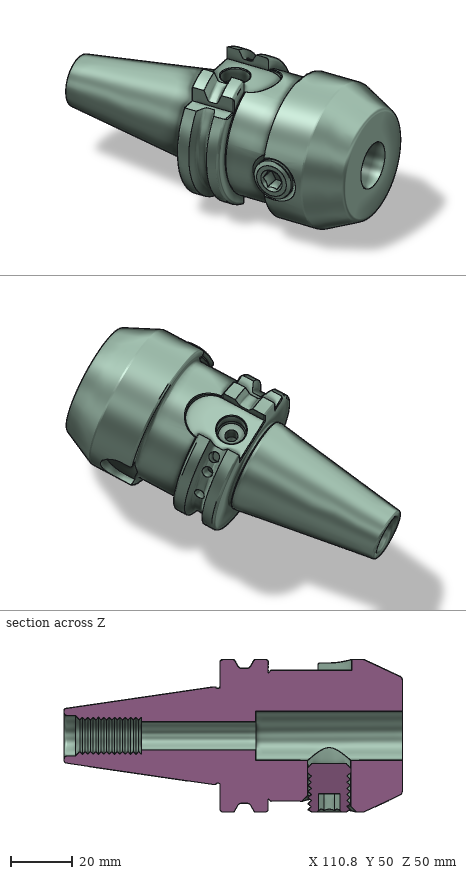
import cadquery as cq
import math


GAUGE_DIAMETER = 31.75
TAPER_RATIO = 7 / 24
SHANK_LENGTH = 47.8
SHANK_END_ROUND = 0.8
GAUGE_LAND_START = 0.8
GAUGE_LAND_END = 1.9
RELIEF_DEPTH = 0.4
RELIEF_ROOT_FILLET = 0.5

FLANGE_START = 3.2
FLANGE_END = 19.1
FLANGE_RADIUS = 25.0
FLANGE_EDGE_FILLET = 1.0
GRIPPER_GROOVE_X = 11.2
GRIPPER_GROOVE_WIDTH = 6.6
GRIPPER_FLOOR_RADIUS = 22.15
GRIPPER_FLANK_ANGLE = 30.0
GRIPPER_FLOOR_FILLET = 1.0
NOTCH_OFFSET = 14.9

BODY_RADIUS = 21.5
NECK_DEPTH = 0.8
HEAD_START = 35.3
HEAD_RADIUS = 25.0
HEAD_EDGE_FILLET = 0.7
HEAD_ROOT_FILLET = 1.0
NOSE_CONE_START = 50.35
NOSE_END = 63.0
NOSE_ANGLE = 25.0
NOSE_EDGE_FILLET = 1.5
NOSE_SHOULDER_FILLET = 1.5

KEYWAY_WIDTH = 16.4
UPPER_KEY_FLOOR = 19.0
LOWER_KEY_FLOOR = 16.3
LOWER_KEY_END = 22.3
KEY_EDGE_CHAMFER = 0.35

PORT_DIAMETER = 4.2
PORT_DEPTH = 11.0
DRILL_POINT_ANGLE = 118.0
PORT_COUNTERBORE_DIAMETER = 9.8
PORT_COUNTERBORE_DEPTH = 5.1
PORT_EDGE_CHAMFER = 0.3
PORT_FLOOR_CHAMFER = 0.5

BALANCE_HOLE_ANGLES = (30.5, 45.0, 70.0)
BALANCE_HOLE_DIAMETER = 3.6
BALANCE_HOLE_DEPTH = 5.0
BALANCE_SLOT_WIDTH = 14.7
BALANCE_SLOT_END = 46.3

TOOL_BORE_DIAMETER = 16.0
TOOL_BORE_DEPTH = 48.0
THROUGH_DIAMETER = 9.2
DRAWBAR_COUNTERBORE_DIAMETER = 13.2
DRAWBAR_COUNTERBORE_DEPTH = 3.7
DRAWBAR_MOUTH_FILLET = 1.0
DRAWBAR_THREAD_DIAMETER = 12.0
DRAWBAR_MINOR_DIAMETER = 10.2
DRAWBAR_PITCH = 1.75
DRAWBAR_THREAD_TURNS = 12

SCREW_X = 39.0
SCREW_RADIUS = 7.0
SCREW_LENGTH = 16.0
SCREW_TOP = 25.0
SCREW_CHAMFER = 1.4
SCREW_CHAMFER_HEIGHT = 0.8
SCREW_PITCH = 2.0
SCREW_THREAD_DEPTH = 1.1
SCREW_THREAD_TURNS = 6
HEX_ACROSS_FLATS = 6.0
HEX_DEPTH = 6.0
HEX_MOUTH_DIAMETER = 8.0
COUNTERSINK_RADIUS = 9.0

X_AXIS = ((0, 0, 0), (1, 0, 0))


def turned(profile):
    """Solid of a closed (X, radius) profile revolved about the X axis."""
    return profile.close().revolve(360, *X_AXIS)


def nearest_to(x, y, z):
    """Selector for the edge whose centre lies nearest to a point."""
    return cq.selectors.NearestToPointSelector((x, y, z))


def taper_radius(x):
    return (GAUGE_DIAMETER + x * TAPER_RATIO) / 2


def turned_blank():
    """Shank, flange, body and head in one revolve."""
    land_radius = taper_radius(GAUGE_LAND_START)
    relief_radius = land_radius - RELIEF_DEPTH
    nose_radius = HEAD_RADIUS - (NOSE_END - NOSE_CONE_START) * math.tan(math.radians(NOSE_ANGLE))
    relief_root = RELIEF_ROOT_FILLET
    edge = FLANGE_EDGE_FILLET
    head_edge = HEAD_EDGE_FILLET
    root = HEAD_ROOT_FILLET
    blank = turned(
        cq.Workplane("XY")
        .moveTo(-SHANK_LENGTH, 0)
        .lineTo(-SHANK_LENGTH, taper_radius(-SHANK_LENGTH))
        .lineTo(GAUGE_LAND_START, land_radius)
        .lineTo(GAUGE_LAND_END, land_radius)
        .lineTo(GAUGE_LAND_END + RELIEF_DEPTH, relief_radius)
        .lineTo(FLANGE_START - relief_root, relief_radius)
        .radiusArc((FLANGE_START, relief_radius + relief_root), -relief_root)
        .lineTo(FLANGE_START, FLANGE_RADIUS - edge)
        .radiusArc((FLANGE_START + edge, FLANGE_RADIUS), edge)
        .lineTo(FLANGE_END - edge, FLANGE_RADIUS)
        .radiusArc((FLANGE_END, FLANGE_RADIUS - edge), edge)
        .lineTo(FLANGE_END, BODY_RADIUS - NECK_DEPTH)
        .lineTo(FLANGE_END + NECK_DEPTH, BODY_RADIUS)
        .lineTo(HEAD_START - root, BODY_RADIUS)
        .radiusArc((HEAD_START, BODY_RADIUS + root), -root)
        .lineTo(HEAD_START, HEAD_RADIUS - head_edge)
        .radiusArc((HEAD_START + head_edge, HEAD_RADIUS), head_edge)
        .lineTo(NOSE_CONE_START, HEAD_RADIUS)
        .lineTo(NOSE_END, nose_radius)
        .lineTo(NOSE_END, 0)
    )
    blank = blank.faces("<X").edges().fillet(SHANK_END_ROUND)
    blank = blank.faces(">X").edges().fillet(NOSE_EDGE_FILLET)
    shoulder = blank.edges(nearest_to(NOSE_CONE_START, 0, 0))
    return shoulder.fillet(NOSE_SHOULDER_FILLET)


def gripper_groove():
    """V-shaped ring cutter with a filleted flat floor."""
    slope = math.tan(math.radians(GRIPPER_FLANK_ANGLE))
    top_radius = FLANGE_RADIUS + 1
    floor_half = GRIPPER_GROOVE_WIDTH / 2 - (FLANGE_RADIUS - GRIPPER_FLOOR_RADIUS) * slope
    top_half = floor_half + (top_radius - GRIPPER_FLOOR_RADIUS) * slope
    ring = turned(
        cq.Workplane("XY")
        .moveTo(GRIPPER_GROOVE_X - top_half, top_radius)
        .lineTo(GRIPPER_GROOVE_X - floor_half, GRIPPER_FLOOR_RADIUS)
        .lineTo(GRIPPER_GROOVE_X + floor_half, GRIPPER_FLOOR_RADIUS)
        .lineTo(GRIPPER_GROOVE_X + top_half, top_radius)
    )
    return ring.edges(cq.selectors.RadiusNthSelector(0)).fillet(GRIPPER_FLOOR_FILLET)


def box_between(x_range, y_range, z_range):
    size = [high - low for low, high in (x_range, y_range, z_range)]
    corner = (x_range[0], y_range[0], z_range[0])
    return cq.Workplane("XY").box(*size, centered=False).translate(corner)


def upper_keyway():
    """Round-ended slot, flared where it opens in the front face of the flange."""
    half = KEYWAY_WIDTH / 2
    height = FLANGE_RADIUS - UPPER_KEY_FLOOR + 1
    slot = (
        cq.Workplane("XY", origin=(0, 0, UPPER_KEY_FLOOR))
        .moveTo(FLANGE_START - 1, -half)
        .lineTo(FLANGE_END, -half)
        .radiusArc((FLANGE_END, half), -half)
        .lineTo(FLANGE_START - 1, half)
        .close()
        .extrude(height)
    )
    flare = (
        cq.Workplane("YZ", origin=(FLANGE_START, 0, UPPER_KEY_FLOOR + height / 2))
        .rect(KEYWAY_WIDTH + 2 * KEY_EDGE_CHAMFER, height + 2 * KEY_EDGE_CHAMFER)
        .extrude(KEY_EDGE_CHAMFER, taper=45)
    )
    return slot.union(flare)


def lower_keyway():
    half = KEYWAY_WIDTH / 2
    return box_between(
        (FLANGE_START - 1, LOWER_KEY_END), (-half, half), (-FLANGE_RADIUS - 1, -LOWER_KEY_FLOOR)
    )


def corner_notch():
    """Square notch through the flange rim, flared at both flange faces."""
    outside = FLANGE_RADIUS + 1
    notch = box_between(
        (FLANGE_START - 1, FLANGE_END), (-outside, -NOTCH_OFFSET), (NOTCH_OFFSET, outside)
    )
    size = outside - NOTCH_OFFSET
    middle = (outside + NOTCH_OFFSET) / 2
    for face_x, inward in ((FLANGE_START, 1), (FLANGE_END, -1)):
        flare = (
            cq.Workplane("YZ", origin=(face_x, -middle, middle))
            .rect(size + 2 * KEY_EDGE_CHAMFER, size + 2 * KEY_EDGE_CHAMFER)
            .extrude(inward * KEY_EDGE_CHAMFER, taper=45)
        )
        notch = notch.union(flare)
    return notch


def keyway_port():
    """Counterbored blind hole with a drill point in the upper keyway floor."""
    floor = cq.Workplane("XY", origin=(GRIPPER_GROOVE_X, 0, UPPER_KEY_FLOOR))
    radius = PORT_DIAMETER / 2
    point_height = radius / math.tan(math.radians(DRILL_POINT_ANGLE / 2))
    hole = (
        cq.Workplane("XZ")
        .moveTo(0, 0)
        .lineTo(radius, 0)
        .lineTo(radius, -PORT_DEPTH)
        .lineTo(0, -PORT_DEPTH - point_height)
        .close()
        .revolve(360, (0, 0, 0), (0, 1, 0))
        .translate((GRIPPER_GROOVE_X, 0, UPPER_KEY_FLOOR))
    )
    counterbore = floor.circle(PORT_COUNTERBORE_DIAMETER / 2).extrude(-PORT_COUNTERBORE_DEPTH)
    counterbore = counterbore.faces("<Z").edges().chamfer(PORT_FLOOR_CHAMFER)
    mouth = (
        floor.circle(PORT_COUNTERBORE_DIAMETER / 2 + PORT_EDGE_CHAMFER)
        .extrude(-PORT_EDGE_CHAMFER, taper=45)
    )
    return hole.union(counterbore).union(mouth)


def balance_hole(angle):
    """Radial blind hole in the floor of the gripper groove."""
    hole = (
        cq.Workplane("XY", origin=(GRIPPER_GROOVE_X, 0, GRIPPER_FLOOR_RADIUS - BALANCE_HOLE_DEPTH))
        .circle(BALANCE_HOLE_DIAMETER / 2)
        .extrude(BALANCE_HOLE_DEPTH + 1)
    )
    return hole.rotate(*X_AXIS, -angle)


def balance_slot():
    """Round-ended slot on the +Y side of the head, open towards the flange."""
    half = BALANCE_SLOT_WIDTH / 2
    end_centre = BALANCE_SLOT_END - half
    return (
        cq.Workplane("XZ", origin=(0, BODY_RADIUS, 0))
        .moveTo(HEAD_START - HEAD_ROOT_FILLET, -half)
        .lineTo(end_centre, -half)
        .radiusArc((end_centre, half), -half)
        .lineTo(HEAD_START - HEAD_ROOT_FILLET, half)
        .close()
        .extrude(-(HEAD_RADIUS - BODY_RADIUS + 1))
    )


def thread_cutter(axis_start, pitch, turns, minor_radius, major_radius):
    """V rings along +X that cut an internal thread form, starting at the major diameter."""
    profile = cq.Workplane("XY").moveTo(axis_start, 0).lineTo(axis_start, major_radius)
    for turn in range(turns):
        start = axis_start + turn * pitch
        profile = profile.lineTo(start + pitch / 2, minor_radius)
        profile = profile.lineTo(start + pitch, major_radius)
    return turned(profile.lineTo(axis_start + turns * pitch, 0))


def central_bore():
    """Drawbar counterbore and thread, through hole and tool bore."""
    back = cq.Workplane("YZ", origin=(-SHANK_LENGTH, 0, 0))
    through = back.circle(THROUGH_DIAMETER / 2).extrude(SHANK_LENGTH + NOSE_END)
    counterbore = back.circle(DRAWBAR_COUNTERBORE_DIAMETER / 2).extrude(DRAWBAR_COUNTERBORE_DEPTH)
    lead_in = (DRAWBAR_COUNTERBORE_DIAMETER - DRAWBAR_THREAD_DIAMETER) / 2
    cone = (
        back.workplane(offset=DRAWBAR_COUNTERBORE_DEPTH)
        .circle(DRAWBAR_COUNTERBORE_DIAMETER / 2)
        .extrude(lead_in, taper=45)
    )
    thread = thread_cutter(
        DRAWBAR_COUNTERBORE_DEPTH + lead_in - SHANK_LENGTH,
        DRAWBAR_PITCH,
        DRAWBAR_THREAD_TURNS,
        DRAWBAR_MINOR_DIAMETER / 2,
        DRAWBAR_THREAD_DIAMETER / 2,
    )
    tool_bore = (
        cq.Workplane("YZ", origin=(NOSE_END, 0, 0))
        .circle(TOOL_BORE_DIAMETER / 2)
        .extrude(-TOOL_BORE_DEPTH)
    )
    return through.union(counterbore).union(cone).union(thread).union(tool_bore)


def countersink(rim_distance):
    """45-degree cone that has the countersink radius at a distance from the axis."""
    return (
        cq.Workplane("XZ", origin=(SCREW_X, -rim_distance, 0))
        .circle(COUNTERSINK_RADIUS)
        .extrude(-(COUNTERSINK_RADIUS - SCREW_RADIUS), taper=45)
    )


def screw_hole():
    """Radial hole, countersunk separately in the head and in the lower body beside it."""
    outside = HEAD_RADIUS + 1
    hole = cq.Workplane("XZ", origin=(SCREW_X, 0, 0)).circle(SCREW_RADIUS).extrude(outside)
    relief = (
        cq.Workplane("XZ", origin=(SCREW_X, -BODY_RADIUS, 0))
        .circle(COUNTERSINK_RADIUS)
        .extrude(outside - BODY_RADIUS)
    )
    body_side = box_between((0, HEAD_START), (-outside, 0), (-outside, outside))
    body_countersink = countersink(BODY_RADIUS).union(relief).intersect(body_side)
    return hole.union(countersink(HEAD_RADIUS)).union(body_countersink)


def make_holder():
    holder = turned_blank().cut(gripper_groove()).cut(upper_keyway())
    keyway_end = holder.edges(nearest_to(FLANGE_END + KEYWAY_WIDTH / 2, 0, BODY_RADIUS))
    holder = keyway_end.chamfer(KEY_EDGE_CHAMFER)
    for cutter in (lower_keyway(), corner_notch(), keyway_port(), balance_slot()):
        holder = holder.cut(cutter)
    for angle in BALANCE_HOLE_ANGLES:
        holder = holder.cut(balance_hole(angle))
    holder = holder.cut(central_bore()).cut(screw_hole())
    mouth = holder.faces("<X").edges(cq.selectors.RadiusNthSelector(0))
    return mouth.fillet(DRAWBAR_MOUTH_FILLET)


def make_screw():
    """Threaded hex-socket screw, turned about X and then set into place along -Y."""
    root_radius = SCREW_RADIUS - SCREW_THREAD_DEPTH
    profile = (
        cq.Workplane("XY")
        .moveTo(0, 0)
        .lineTo(0, SCREW_RADIUS - SCREW_CHAMFER)
        .lineTo(SCREW_CHAMFER_HEIGHT, SCREW_RADIUS)
    )
    for turn in range(SCREW_THREAD_TURNS):
        start = SCREW_CHAMFER_HEIGHT + turn * SCREW_PITCH
        profile = profile.lineTo(start + SCREW_PITCH / 2, root_radius)
        profile = profile.lineTo(start + SCREW_PITCH, SCREW_RADIUS)
    profile = (
        profile.lineTo(SCREW_LENGTH - SCREW_CHAMFER, SCREW_RADIUS)
        .lineTo(SCREW_LENGTH, SCREW_RADIUS - SCREW_CHAMFER)
        .lineTo(SCREW_LENGTH, 0)
    )
    top = cq.Workplane("YZ")
    hex_diameter = HEX_ACROSS_FLATS / math.cos(math.pi / 6)
    socket = top.polygon(6, hex_diameter).extrude(HEX_DEPTH)
    mouth_depth = (HEX_MOUTH_DIAMETER - HEX_ACROSS_FLATS) / 2
    mouth = top.circle(HEX_MOUTH_DIAMETER / 2).extrude(mouth_depth, taper=45)
    screw = turned(profile).cut(socket).cut(mouth)
    return screw.rotate((0, 0, 0), (0, 0, 1), 90).translate((SCREW_X, -SCREW_TOP, 0))


holder = make_holder()
screw = make_screw()
result = cq.Compound.makeCompound([holder.val(), screw.val()])